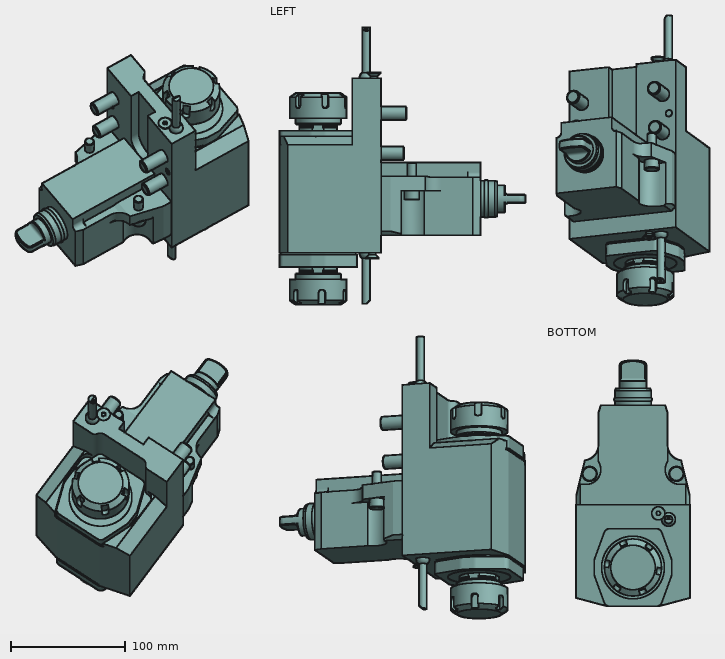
import cadquery as cq
import math


width = 100.0
half_width = width / 2

housing_bottom = -47.2
housing_step = 54.7
rear_y = 34.0
rear_flat_half = 22.8
rear_taper = 15.0
top_bevel_width = 12.5
top_bevel_angle = 30.0

wall_front_y = -55.0
wall_rear_y = -29.7
wall_top = 105.7
key_slot_radius = 13.0
key_slot_depth = 8.0
key_slot_center_z = 45.0

wall_screw_d = 12.0
wall_screw_x = 38.0
wall_screw_rows = [(75.0, 22.5), (40.0, 20.3)]
wall_screw_chamfer = 1.0
port_d = 6.0
port_x = 43.5
port_z = 57.5
port_depth = 0.3

plate_outer_z = 59.8
plate_thickness = 11.0
plate_half_width = 34.0
plate_half_depth = 34.0
plate_side_half = 6.5
plate_taper = 20.0
plate_end_radius = 5.0
plate_side_radius = 7.0
plate_pad_inset = 1.0
plate_clearance = 1.3
recess_edge_radius = 4.0
pocket_half_width = 37.0
pocket_taper_y = 2.0
pocket_corner_radius = 7.0

bearing_d = 55.0
bearing_recess = 0.2
neck_d = 34.7
neck_flat_distance = 16.6
neck_groove_d = 34.2
neck_groove_start_z = 62.4
neck_groove_end_z = 63.6
collar_d = 40.0
collar_start_z = 64.9
collar_chamfer = 1.2

nut_d = 50.0
nut_start_z = 70.4
nut_end_z = 92.8
nut_face_d = 39.0
nut_cone_height = 3.2
nut_rim_bevel = 0.7
nut_slot_count = 6
nut_slot_width = 6.0
nut_slot_floor_r = 21.0
nut_slot_end_z = 79.5
upper_slot_angle = 15.0
lower_slot_angle = 8.0

foot_half_height = 32.0
foot_front_y = -142.2
foot_half_width = 30.4
flange_half_width = 49.7
foot_shoulder_z = 18.8
ridge_half_width = 23.7
flange_top = 20.0
flange_bottom = 7.2
flange_straight_y = -63.5
flange_front_y = -93.9
flange_front_half = 42.2
flange_ramp_end_y = -98.9
corner_radius = 13.0
access_wall_y = -72.7
access_center_x = 41.2
bottom_bevel = 4.0
cap_rear_y = -131.1
cap_taper_y = -135.5
cap_front_half = 28.2
cap_fillet = cap_front_half - ridge_half_width

clamp_x = 38.0
clamp_y = -82.0
clamp_d = 8.0
clamp_tip_z = 31.8
clamp_head_d = 13.0
clamp_head_height = 8.0
screw_chamfer = 0.6

journal_d = 32.0
journal_end_y = -156.9
journal_bevel_length = 2.2
journal_bevel_height = 0.8
seal_start_y = -145.6
seal_end_y = -148.7
seal_height = 0.7
shaft_d = 24.0
shaft_end_y = -163.6
shaft_chamfer = 0.7
tang_half_thickness = 4.0
tang_end_y = -181.75
tang_tip_radius = 28.0
tang_corner_radius = 4.0
tang_edge_chamfer = 0.9
tang_root_radius = 2.2

ball_d = 12.0
tube_d = 7.0
tube_tip_cut = 3.2
jet_d = 2.1
jet_depth = 2.5
upper_tube_end_z = 150.11
lower_tube_end_z = -92.0
nozzle_y = -42.0
upper_nozzle_x = 38.0
lower_nozzle_x = 31.1
retainer_d = 11.57
retainer_neck_d = 6.37
retainer_height = 5.0
retainer_rim = 0.6
retainer_cone = 2.6
retainer_socket = 4.0
retainer_socket_depth = 2.0
upper_retainer = (30.8, -48.9)
lower_retainer = (22.2, -47.4)

selection_margin = 0.1


def box(x0, x1, y0, y1, z0, z1):
    return cq.Workplane("XY").box(x1 - x0, y1 - y0, z1 - z0, centered=False).translate((x0, y0, z0))


def prism(points, z0, z1):
    return cq.Workplane("XY").workplane(offset=z0).polyline(points).close().extrude(z1 - z0)


def disc(diameter, x, y, z0, z1):
    return cq.Workplane("XY").workplane(offset=z0).center(x, y).circle(diameter / 2).extrude(z1 - z0)


def rod_along_y(diameter, x, z, y0, y1):
    """Cylinder that runs from y0 forward (towards -Y) to y1."""
    return cq.Workplane("XZ").workplane(offset=-y0).center(x, z).circle(diameter / 2).extrude(y0 - y1)


def both_sides(shape):
    return shape.union(shape.mirror("YZ"))


def mirrored_outline(half):
    """Closes a right-hand outline with its mirror image about x = 0."""
    return half + [(-x, y) for x, y in reversed(half)]


def gear_block():
    side_y = rear_y - (half_width - rear_flat_half) * math.tan(math.radians(rear_taper))
    outline = mirrored_outline([
        (half_width, wall_front_y),
        (half_width, side_y),
        (rear_flat_half, rear_y),
    ])
    block = prism(outline, housing_bottom, housing_step)
    bevel_drop = top_bevel_width * math.tan(math.radians(top_bevel_angle))
    bevel = (
        cq.Workplane("XZ")
        .workplane(offset=-rear_y)
        .polyline([
            (half_width, housing_step - bevel_drop),
            (half_width, housing_step),
            (half_width - top_bevel_width, housing_step),
        ])
        .close()
        .extrude(rear_y - wall_rear_y)
    )
    wall = box(-half_width, half_width, wall_front_y, wall_rear_y, housing_bottom, wall_top)
    return block.cut(both_sides(bevel)).union(wall)


def plate_outline_solid(z0, z1, offset=0.0):
    """Block with the rounded plate outline, grown all round by offset (or shrunk, if negative)."""
    run = (plate_half_depth - plate_side_half) * math.tan(math.radians(plate_taper))
    end_half = plate_half_width - run
    outline = mirrored_outline([
        (end_half, -plate_half_depth),
        (plate_half_width, -plate_side_half),
        (plate_half_width, plate_side_half),
        (end_half, plate_half_depth),
    ])
    plate = prism(outline, 0, z1 - z0)
    plate = plate.edges("|Z").edges("<Y or >Y").fillet(plate_end_radius)
    plate = plate.edges("|Z").edges("<X or >X").fillet(plate_side_radius)
    if offset:
        plate = plate.faces(">Z").wires().toPending().offset2D(offset).extrude(z0 - z1, combine=False)
    return plate.translate((0, 0, z0))


def end_plate():
    """Upper end plate with the smaller pad that sits on the housing."""
    inner_z = plate_outer_z - plate_thickness
    plate = plate_outline_solid(inner_z, plate_outer_z)
    pad = plate_outline_solid(-housing_bottom, inner_z, -plate_pad_inset)
    return plate.union(pad)


def plate_relief():
    """Space around the upper plate: a pocket in the block and a relief in the wall."""
    narrowing = (rear_y - pocket_taper_y) * math.tan(math.radians(plate_taper))
    outline = mirrored_outline([
        (pocket_half_width, wall_rear_y),
        (pocket_half_width, pocket_taper_y),
        (pocket_half_width - narrowing, rear_y),
    ])
    pocket = prism(outline, -housing_bottom, wall_top)
    pocket = pocket.edges("|Z and <Y").fillet(pocket_corner_radius)
    relief = plate_outline_solid(-housing_bottom, wall_top, plate_clearance)
    return pocket.union(relief)


def key_slot():
    floor_y = wall_front_y + key_slot_depth
    straight = box(-key_slot_radius, key_slot_radius, wall_front_y, floor_y, key_slot_center_z, wall_top)
    rounded_end = rod_along_y(2 * key_slot_radius, 0, key_slot_center_z, floor_y, wall_front_y)
    return straight.union(rounded_end)


def wall_screws():
    screws = cq.Workplane("XY")
    for z, length in wall_screw_rows:
        for x in (-wall_screw_x, wall_screw_x):
            screw = rod_along_y(wall_screw_d, x, z, wall_front_y, wall_front_y - length)
            screws = screws.union(screw.faces("<Y").chamfer(wall_screw_chamfer))
    return screws


def wall_ports():
    return both_sides(rod_along_y(port_d, port_x, port_z, wall_front_y + port_depth, wall_front_y))


def foot_body():
    base = box(-foot_half_width, foot_half_width, cap_rear_y, wall_front_y, -foot_half_height, foot_shoulder_z)
    ridge = box(-ridge_half_width, ridge_half_width, cap_rear_y, wall_front_y, -foot_half_height, foot_half_height)
    return base.union(ridge)


def foot_cap():
    """Front end of the foot: tapered sides and a concave fillet beside the ridge."""
    fillet_mid = cap_fillet * (1 - math.sqrt(0.5))
    profile = (
        cq.Workplane("XZ")
        .workplane(offset=-cap_rear_y)
        .moveTo(0, -foot_half_height)
        .lineTo(foot_half_width, -foot_half_height)
        .lineTo(foot_half_width, foot_shoulder_z)
        .lineTo(cap_front_half, foot_shoulder_z)
        .threePointArc(
            (ridge_half_width + fillet_mid, foot_shoulder_z + fillet_mid),
            (ridge_half_width, foot_shoulder_z + cap_fillet),
        )
        .lineTo(ridge_half_width, foot_half_height)
        .lineTo(0, foot_half_height)
        .close()
        .extrude(cap_rear_y - foot_front_y)
    )
    taper = prism(
        [
            (foot_half_width, cap_taper_y),
            (foot_half_width, foot_front_y),
            (cap_front_half, foot_front_y),
        ],
        -foot_half_height,
        foot_half_height,
    )
    return both_sides(profile.cut(taper))


def flange_half():
    """Right-hand half of the clamping flange, with a ramp down to the foot shoulder."""
    corner_y = flange_front_y - corner_radius
    outline = [
        (0, wall_front_y),
        (flange_half_width, wall_front_y),
        (flange_half_width, flange_straight_y),
        (flange_front_half, flange_front_y),
        (flange_front_half, corner_y),
        (0, corner_y),
    ]
    round_corner = disc(
        2 * corner_radius, foot_half_width + corner_radius, corner_y, flange_bottom, flange_top
    )
    flange = prism(outline, flange_bottom, flange_top).cut(round_corner)
    ramp = (
        cq.Workplane("YZ")
        .polyline([
            (flange_front_y, flange_top),
            (flange_ramp_end_y, foot_shoulder_z),
            (corner_y, foot_shoulder_z),
            (corner_y, flange_top),
        ])
        .close()
        .extrude(half_width)
    )
    return flange.cut(ramp)


def cheek_half():
    """Right-hand cheek below the flange, with a bevelled lower edge."""
    side_slope = (flange_half_width - flange_front_half) / (flange_straight_y - flange_front_y)
    access_edge_x = flange_half_width - (flange_straight_y - access_wall_y) * side_slope
    outline = [
        (0, wall_front_y),
        (flange_half_width, wall_front_y),
        (flange_half_width, flange_straight_y),
        (access_edge_x, access_wall_y),
        (access_center_x, access_wall_y),
        (access_center_x, access_wall_y - corner_radius),
        (0, access_wall_y - corner_radius),
    ]
    cheek = prism(outline, -foot_half_height, flange_bottom)
    bevel = (
        cq.Workplane("XZ")
        .workplane(offset=-wall_front_y)
        .polyline([
            (half_width, -foot_half_height),
            (half_width, bottom_bevel - foot_half_height),
            (half_width - bottom_bevel, -foot_half_height),
        ])
        .close()
        .extrude(wall_front_y - flange_front_y)
    )
    return cheek.cut(bevel)


def screw_access():
    """Round channel that gives room for the head of a clamping screw."""
    center_y = access_wall_y - corner_radius
    return disc(2 * corner_radius, access_center_x, center_y, -foot_half_height, flange_bottom)


def clamp_screw():
    head = disc(
        clamp_head_d, clamp_x, clamp_y, flange_bottom - clamp_head_height, flange_bottom
    ).faces("<Z").chamfer(screw_chamfer)
    tip = disc(clamp_d, clamp_x, clamp_y, flange_top, clamp_tip_z).faces(">Z").chamfer(screw_chamfer)
    return head.union(tip)


def drive_foot():
    cheeks = both_sides(cheek_half())
    foot = foot_body().union(cheeks).cut(both_sides(screw_access()))
    return foot.union(both_sides(flange_half())).union(foot_cap())


def drive_shaft():
    journal_r = journal_d / 2
    shaft_r = shaft_d / 2
    seal_middle = (journal_r + seal_height, (seal_start_y + seal_end_y) / 2)
    shaft = (
        cq.Workplane("XY")
        .moveTo(0, foot_front_y)
        .lineTo(journal_r, foot_front_y)
        .lineTo(journal_r, seal_start_y)
        .threePointArc(seal_middle, (journal_r, seal_end_y))
        .lineTo(journal_r, journal_end_y + journal_bevel_length)
        .lineTo(journal_r - journal_bevel_height, journal_end_y)
        .lineTo(shaft_r, journal_end_y)
        .lineTo(shaft_r, shaft_end_y + shaft_chamfer)
        .lineTo(shaft_r - shaft_chamfer, shaft_end_y)
        .lineTo(0, shaft_end_y)
        .close()
        .revolve(360, (0, 0), (0, 1))
    )
    return shaft.union(drive_tang()).union(tang_root())


def drive_tang():
    """Flat driver at the shaft end: a turned, domed end cut down to two flats."""
    radius = shaft_d / 2
    dome_center_y = tang_end_y + tang_tip_radius
    root_y = shaft_end_y + shaft_chamfer
    turned = rod_along_y(shaft_d, 0, 0, root_y, tang_end_y)
    turned = turned.intersect(cq.Workplane("XY").sphere(tang_tip_radius).translate((0, dome_center_y, 0)))
    turned = turned.faces("<Y").edges().fillet(tang_corner_radius)
    blade = box(
        -radius, radius, tang_end_y, root_y, -tang_half_thickness, tang_half_thickness
    )
    tang = turned.intersect(blade)
    return tang.faces("<Z or >Z").edges("not >Y").chamfer(tang_edge_chamfer)


def tang_root():
    """Concave fillets between the shaft end and the two flats of the tang."""
    root_z = tang_half_thickness + tang_root_radius
    root_y = shaft_end_y - tang_root_radius
    strip = box(-shaft_d / 2, shaft_d / 2, root_y, shaft_end_y, -root_z, root_z)
    for z in (-root_z, root_z):
        hollow = (
            cq.Workplane("YZ")
            .center(root_y, z)
            .circle(tang_root_radius)
            .extrude(shaft_d, both=True)
        )
        strip = strip.cut(hollow)
    return strip.intersect(rod_along_y(shaft_d, 0, 0, shaft_end_y, root_y))


def nozzle(x, face_z, end_z, cut_direction):
    """Ball and tube standing on the face at face_z; the tip is cut at 45 degrees on one side."""
    tube_r = tube_d / 2
    ball = cq.Workplane("XY").sphere(ball_d / 2).translate((x, nozzle_y, face_z))
    tube = disc(tube_d, x, nozzle_y, face_z, end_z)
    inward = math.copysign(1, face_z - end_z)
    wedge = (
        cq.Workplane("XZ")
        .polyline([
            (tube_r, end_z),
            (tube_r, end_z + inward * tube_tip_cut),
            (tube_r - tube_tip_cut, end_z),
        ])
        .close()
        .extrude(tube_r, both=True)
    )
    tip_middle = cq.Vector(tube_r - tube_tip_cut / 2, 0, end_z + inward * tube_tip_cut / 2)
    jet = cq.Workplane(cq.Solid.makeCylinder(jet_d / 2, jet_depth, tip_middle, cq.Vector(-1, 0, inward)))
    tip_cut = wedge.union(jet).rotate((0, 0, 0), (0, 0, 1), cut_direction)
    return ball.union(tube).cut(tip_cut.translate((x, nozzle_y, 0)))


def retainer():
    """Countersunk screw that holds the ball, standing on z = 0."""
    head_r = retainer_d / 2
    neck_r = retainer_neck_d / 2
    rim_z = retainer_height - retainer_rim
    screw = (
        cq.Workplane("XZ")
        .polyline([
            (0, 0),
            (neck_r, 0),
            (neck_r, rim_z - retainer_cone),
            (head_r, rim_z),
            (head_r, retainer_height),
            (0, retainer_height),
        ])
        .close()
        .revolve(360, (0, 0), (0, 1))
    )
    socket = (
        cq.Workplane("XY")
        .workplane(offset=retainer_height - retainer_socket_depth)
        .polygon(6, retainer_socket)
        .extrude(retainer_socket_depth)
    )
    return screw.cut(socket)


def nozzles():
    toward_minus_x = 180
    toward_minus_y = -90
    upper = nozzle(upper_nozzle_x, wall_top, upper_tube_end_z, toward_minus_x)
    upper = upper.union(retainer().translate((*upper_retainer, wall_top)))
    lower = nozzle(lower_nozzle_x, housing_bottom, lower_tube_end_z, toward_minus_y)
    lower = lower.union(retainer().mirror("XY").translate((*lower_retainer, housing_bottom)))
    return upper, lower


def spindle_nose():
    """Upper spindle nose: neck with a groove and four flats, then the collar under the nut."""
    seat_z = plate_outer_z - bearing_recess
    neck = disc(neck_d, 0, 0, seat_z, collar_start_z)
    groove = disc(neck_d, 0, 0, neck_groove_start_z, neck_groove_end_z)
    groove = groove.cut(disc(neck_groove_d, 0, 0, neck_groove_start_z, neck_groove_end_z))
    flats = 2 * neck_flat_distance
    neck = neck.cut(groove).intersect(cq.Workplane("XY").rect(flats, flats).extrude(collar_start_z))
    collar = disc(collar_d, 0, 0, collar_start_z, nut_start_z).faces("<Z").chamfer(collar_chamfer)
    return neck.union(collar)


def build_housing():
    body = gear_block().cut(plate_relief())
    wall_edges = cq.selectors.BoxSelector(
        (-plate_half_width, wall_rear_y - selection_margin, housing_step),
        (plate_half_width, wall_rear_y + selection_margin, wall_top),
    )
    body = body.edges(wall_edges).edges("|Z").fillet(recess_edge_radius)
    bearing_face = disc(bearing_d, 0, 0, plate_outer_z - bearing_recess, plate_outer_z)
    spindle_end = end_plate().cut(bearing_face).union(spindle_nose())
    body = body.union(spindle_end).union(spindle_end.mirror("XY"))
    body = body.cut(key_slot()).cut(wall_ports())
    body = body.union(drive_foot()).union(drive_shaft())
    body = body.union(wall_screws()).union(both_sides(clamp_screw()))
    for coolant_nozzle in nozzles():
        body = body.union(coolant_nozzle)
    return body


def build_clamping_nut(slot_angle):
    """Slotted nut on the upper collar; slot_angle is where its first slot stands."""
    nut_r = nut_d / 2
    cone_z = nut_end_z - nut_cone_height
    nut = (
        cq.Workplane("XZ")
        .polyline([
            (0, nut_start_z),
            (nut_r, nut_start_z),
            (nut_r, cone_z - nut_rim_bevel),
            (nut_r - nut_rim_bevel, cone_z),
            (nut_face_d / 2, nut_end_z),
            (0, nut_end_z),
        ])
        .close()
        .revolve(360, (0, 0), (0, 1))
    )
    half_slot = nut_slot_width / 2
    round_z = nut_slot_end_z + half_slot
    straight = box(nut_slot_floor_r, nut_r, -half_slot, half_slot, round_z, nut_end_z)
    rounded = (
        cq.Workplane("YZ")
        .workplane(offset=nut_slot_floor_r)
        .center(0, round_z)
        .circle(half_slot)
        .extrude(nut_r - nut_slot_floor_r)
    )
    slot = straight.union(rounded)
    for index in range(nut_slot_count):
        angle = slot_angle + index * 360 / nut_slot_count
        nut = nut.cut(slot.rotate((0, 0, 0), (0, 0, 1), angle))
    return nut


housing = build_housing()
upper_nut = build_clamping_nut(upper_slot_angle)
lower_nut = build_clamping_nut(lower_slot_angle).mirror("XY")

result = cq.Compound.makeCompound([housing.val(), upper_nut.val(), lower_nut.val()])